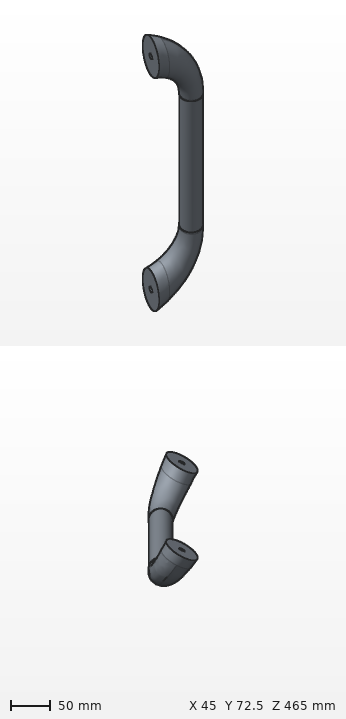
import cadquery as cq
import math

overall_height = 465.0
projection = 72.5
elbow_height = 120.0

collar_diameter = 31.0
collar_length = 2.5
foot_width = 45.0
foot_height = 65.0
foot_depth = 15.0
bend_section_count = 7

tube_diameter = 30.0
tube_length = overall_height - 2 * elbow_height
tube_axis_y = projection - collar_diameter / 2

hole_diameter = 8.0
hole_depth = 20.0
hole_floor_slope = 50.0

collar_z = tube_length / 2
bend_start_z = collar_z + collar_length
foot_top_z = overall_height / 2
foot_bottom_z = foot_top_z - foot_height
foot_center_z = foot_top_z - foot_height / 2


def bend_radius(start_y, end_z):
    """Radius of an arc leaving (start_y, bend_start_z) upright and reaching the wall at end_z."""
    rise = end_z - bend_start_z
    return (start_y**2 + rise**2) / (2 * start_y)


outer_start_y = projection
inner_start_y = projection - collar_diameter
outer_radius = bend_radius(outer_start_y, foot_top_z)
inner_radius = bend_radius(inner_start_y, foot_bottom_z)


def arc_point(start_y, radius, angle):
    """Point (y, z) on a bend arc, at an angle in radians from its start."""
    y = start_y - radius * (1 - math.cos(angle))
    z = bend_start_z + radius * math.sin(angle)
    return y, z


def angle_at_y(start_y, radius, y):
    """Angle in radians at which a bend arc reaches distance y from the wall."""
    return math.acos(1 - (start_y - y) / radius)


def oval_section(outer_angle, inner_angle):
    """Oval wire spanning the inner and outer arcs, wider the farther it is along the bend."""
    outer_y, outer_z = arc_point(outer_start_y, outer_radius, outer_angle)
    inner_y, inner_z = arc_point(inner_start_y, inner_radius, inner_angle)
    center = cq.Vector(0, (outer_y + inner_y) / 2, (outer_z + inner_z) / 2)
    across = cq.Vector(0, outer_y - inner_y, outer_z - inner_z)
    progress = outer_angle / angle_at_y(outer_start_y, outer_radius, 0)
    width = collar_diameter + (foot_width - collar_diameter) * progress
    plane = cq.Plane(origin=center, xDir=across, normal=cq.Vector(1, 0, 0).cross(across))
    return cq.Workplane(plane).ellipse(across.Length / 2, width / 2).wires().val()


def make_fixing_hole():
    hole_radius = hole_diameter / 2
    floor_shift = hole_radius / math.tan(math.radians(hole_floor_slope))
    bottom_z = foot_center_z - hole_radius
    top_z = foot_center_z + hole_radius
    sloped_end = (
        cq.Workplane("YZ")
        .moveTo(0, bottom_z)
        .lineTo(hole_depth + floor_shift, bottom_z)
        .lineTo(hole_depth - floor_shift, top_z)
        .lineTo(0, top_z)
        .close()
        .extrude(hole_radius, both=True)
    )
    bore = (
        cq.Workplane("XZ", origin=(0, 0, foot_center_z))
        .circle(hole_radius)
        .extrude(-(hole_depth + floor_shift))
    )
    return bore.intersect(sloped_end)


def make_upper_elbow():
    collar = (
        cq.Workplane("XY", origin=(0, tube_axis_y, collar_z))
        .circle(collar_diameter / 2)
        .extrude(collar_length)
    )

    foot_outer_angle = angle_at_y(outer_start_y, outer_radius, foot_depth)
    foot_inner_angle = angle_at_y(inner_start_y, inner_radius, foot_depth)
    bend_sections = []
    for index in range(bend_section_count):
        fraction = index / (bend_section_count - 1)
        bend_sections.append(oval_section(fraction * foot_outer_angle, fraction * foot_inner_angle))
    bend = cq.Solid.makeLoft(bend_sections)

    foot_sections = []
    for y in (foot_depth, foot_depth / 2, 0):
        outer_angle = angle_at_y(outer_start_y, outer_radius, y)
        inner_angle = angle_at_y(inner_start_y, inner_radius, y)
        foot_sections.append(oval_section(outer_angle, inner_angle))
    foot = cq.Solid.makeLoft(foot_sections)

    elbow = collar.union(cq.Workplane(bend)).union(cq.Workplane(foot))
    return elbow.cut(make_fixing_hole())


def make_tube():
    return (
        cq.Workplane("XY", origin=(0, tube_axis_y, -tube_length / 2))
        .circle(tube_diameter / 2)
        .extrude(tube_length)
    )


tube = make_tube()
upper_elbow = make_upper_elbow()
elbows = [upper_elbow, upper_elbow.mirror("XY")]

result = cq.Compound.makeCompound([tube.val(), *[elbow.val() for elbow in elbows]])